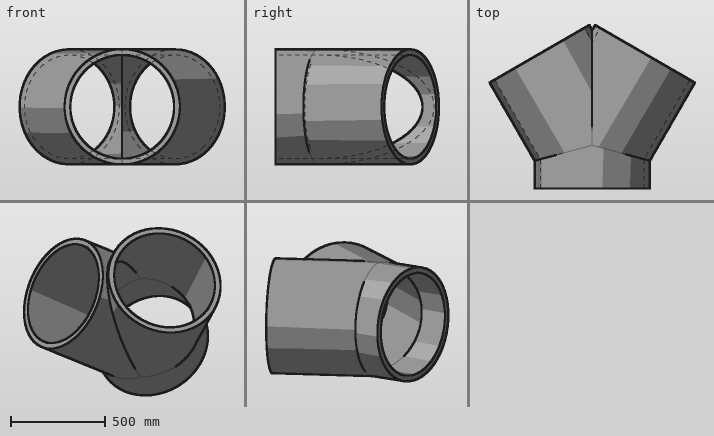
import cadquery as cq

OUTER_DIAMETER = 610.0
BORE_DIAMETER = 548.0
INLET_LENGTH = 229.0
BRANCH_LENGTH = 559.0
BRANCH_ANGLE = 30


def rod(diameter, length, angle):
    """Solid cylinder from the origin along +Y, turned about Z by the angle."""
    along_y = cq.Workplane("XZ").circle(diameter / 2).extrude(-length)
    return along_y.rotate((0, 0, 0), (0, 0, 1), angle)


def wye(diameter):
    """Three joined cylinders along the pipe axes."""
    body = rod(diameter, INLET_LENGTH, 180)
    for angle in (BRANCH_ANGLE, -BRANCH_ANGLE):
        body = body.union(rod(diameter, BRANCH_LENGTH, angle))
    return body


result = wye(OUTER_DIAMETER).cut(wye(BORE_DIAMETER))